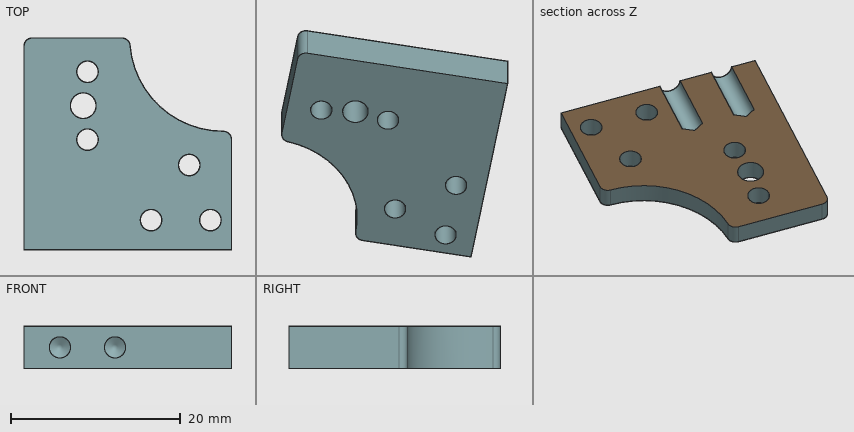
import cadquery as cq
import math

width = 24.5
length = 25.0
thickness = 5.0
corner_radius = 1.0

relief_radius = 11.0
relief_x = width - corner_radius
relief_y = length

screw_diameter = 2.5
screw_centers = [(7.5, 21.0), (7.5, 13.0), (19.5, 10.0), (15.0, 3.5), (22.0, 3.5)]
pivot_diameter = 3.0
pivot_center = (7.0, 17.0)

side_diameter = 2.5
side_depth = 7.5
side_positions = [4.25, 10.75]
drill_point_angle = 118.0


def make_plate():
    """Plate with rounded corners that run tangentially into the relief arc."""
    round_y = length - corner_radius
    center_spacing = relief_radius + corner_radius
    round_x = relief_x - math.sqrt(center_spacing**2 - (relief_y - round_y) ** 2)
    relief_share = relief_radius / center_spacing
    relief_start = (
        relief_x + relief_share * (round_x - relief_x),
        relief_y + relief_share * (round_y - relief_y),
    )

    relief_end = (relief_x, relief_y - relief_radius)

    outline = (
        cq.Workplane("XY")
        .lineTo(width, 0)
        .lineTo(width, relief_end[1] - corner_radius)
        .tangentArcPoint(relief_end, relative=False)
        .tangentArcPoint(relief_start, relative=False)
        .tangentArcPoint((round_x, length), relative=False)
        .lineTo(corner_radius, length)
        .tangentArcPoint((0, round_y), relative=False)
        .close()
    )
    return outline.extrude(thickness)


def through_holes(centers, diameter):
    return cq.Workplane("XY").pushPoints(centers).circle(diameter / 2).extrude(thickness)


def side_hole(x):
    """Drilled bore along +Y, ending in a conical drill point."""
    radius = side_diameter / 2
    tip_depth = side_depth + radius / math.tan(math.radians(drill_point_angle / 2))
    return (
        cq.Workplane("XY")
        .polyline([(0, 0), (radius, 0), (radius, side_depth), (0, tip_depth)])
        .close()
        .revolve(360, (0, 0), (0, 1))
        .translate((x, 0, thickness / 2))
    )


result = make_plate()
result = result.cut(through_holes(screw_centers, screw_diameter))
result = result.cut(through_holes([pivot_center], pivot_diameter))
for position in side_positions:
    result = result.cut(side_hole(position))